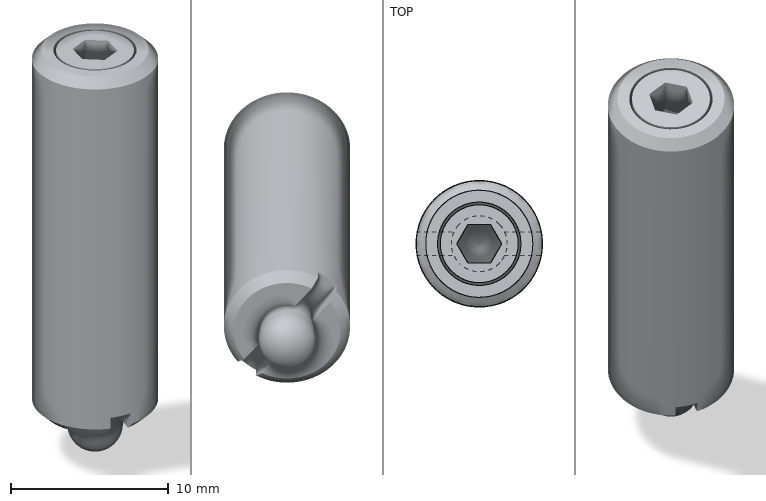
import cadquery as cq
import math

total_height = 29.0
housing_diameter = 8.0
housing_bottom = 3.02
housing_chamfer = 0.6

nose_radius = 1.77

head_radius = 2.46
head_length = 5.8
head_clearance = 0.17

socket_across_flats = 2.46
socket_depth = 2.5
drill_point_angle = 118.0

slot_width = 1.5
slot_depth = 1.4

housing_radius = housing_diameter / 2
housing_length = total_height - housing_bottom
head_bottom = total_height - head_length
counterbore_radius = head_radius + head_clearance
socket_across_corners = socket_across_flats / math.cos(math.radians(30))
socket_corner_radius = socket_across_corners / 2
socket_point_depth = socket_corner_radius / math.tan(math.radians(drill_point_angle / 2))
socket_bottom = total_height - socket_depth


def make_bore():
    """Stepped through bore that takes the spindle, counterbored for its head."""
    return (
        cq.Workplane("XZ")
        .moveTo(0, housing_bottom)
        .lineTo(nose_radius, housing_bottom)
        .lineTo(nose_radius, head_bottom)
        .lineTo(counterbore_radius, head_bottom)
        .lineTo(counterbore_radius, total_height)
        .lineTo(0, total_height)
        .close()
        .revolve(360, (0, 0, 0), (0, 1, 0))
    )


def make_housing():
    """Chamfered cylinder with the bore and a cross slot along X in its lower end."""
    blank = (
        cq.Workplane("XY", origin=(0, 0, housing_bottom))
        .circle(housing_radius)
        .extrude(housing_length)
        .faces("<Z or >Z")
        .chamfer(housing_chamfer)
    )
    slot = cq.Workplane("XY", origin=(0, 0, housing_bottom)).box(
        housing_diameter, slot_width, slot_depth, centered=(True, True, False)
    )
    return blank.cut(make_bore()).cut(slot)


def make_hex_socket():
    """Hexagonal recess whose floor is a drill-point cone."""
    point_bottom = socket_bottom - socket_point_depth
    hexagon = (
        cq.Workplane("XY", origin=(0, 0, point_bottom))
        .polygon(6, socket_across_corners)
        .extrude(total_height - point_bottom)
    )
    drilling = (
        cq.Workplane("XZ")
        .moveTo(0, point_bottom)
        .lineTo(socket_corner_radius, socket_bottom)
        .lineTo(socket_corner_radius, total_height)
        .lineTo(0, total_height)
        .close()
        .revolve(360, (0, 0, 0), (0, 1, 0))
    )
    return hexagon.intersect(drilling)


def make_spindle():
    """Round-nosed spindle with a wider socket head flush with the housing top."""
    arc_offset = nose_radius * math.sin(math.radians(45))
    blank = (
        cq.Workplane("XZ")
        .moveTo(0, 0)
        .threePointArc((arc_offset, nose_radius - arc_offset), (nose_radius, nose_radius))
        .lineTo(nose_radius, head_bottom)
        .lineTo(head_radius, head_bottom)
        .lineTo(head_radius, total_height)
        .lineTo(0, total_height)
        .close()
        .revolve(360, (0, 0, 0), (0, 1, 0))
    )
    return blank.cut(make_hex_socket())


housing = make_housing()
spindle = make_spindle()
result = cq.Compound.makeCompound([housing.solids().val(), spindle.solids().val()])